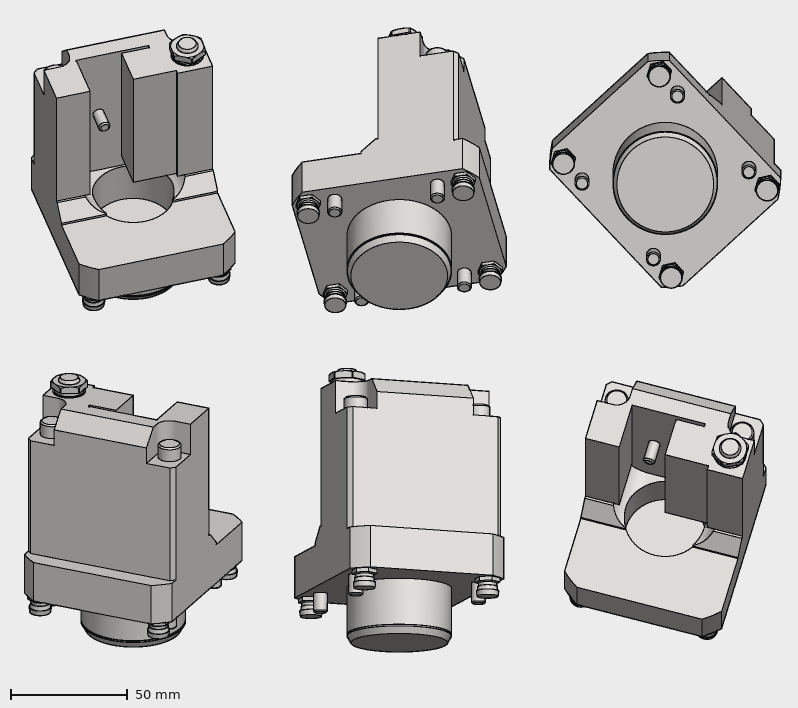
import cadquery as cq
import math


plate_length = 82.0
plate_width = 70.0
plate_height = 18.1
plate_corner_radius = 49.6

spigot_diameter = 45.0
spigot_length = 23.8
spigot_chamfer_inset = 1.7
spigot_chamfer_height = 3.0
spigot_groove_width = 0.7
spigot_groove_depth = 0.2
bore_diameter = 35.0

riser_back_x = -33.0
riser_front_x = 2.0
riser_height = 67.3
riser_corner_chamfer = 2.0
top_chamfer = 7.0
ledge_end_x = 3.0
ledge_height = 7.4
ramp_drop = 6.4

channel_wall_x = -18.5
channel_width = 39.9
foot_channel_radius = 11.7
foot_channel_arc_y = 11.8
foot_channel_floor = 0.9

jaw_front_x = 0.1
jaw_side_y = 19.2
slot_width = 1.4
slot_end_y = 12.5

stop_pin_diameter = 5.0
stop_pin_length = 9.4
stop_pin_y = -10.0
slot_pin_diameter = 6.0
slot_pin_y = 7.5
pin_chamfer = 0.7

screw_x = -22.6
screw_y = 27.9
lower_pin_diameter = 6.0
screw_reach = 8.9
screw_head_diameter = 10.0
screw_head_height = 6.3
lower_pin_chamfer = 0.6
notch_depth = 14.3
notch_radius = 6.0
guide_pin_x = 22.4
guide_pin_reach = 8.2

nozzle_x = 34.0
nozzle_y = 28.0
nozzle_hex_flats = 9.4
nozzle_hex_height = 1.7
nozzle_neck_diameter = 8.0
nozzle_cone_end = 2.2
nozzle_neck_end = 3.6
nozzle_band_diameter = 8.5
nozzle_band_end = 4.3
nozzle_bulge_diameter = 9.6
nozzle_bulge_start = 5.6
nozzle_bulge_end = 6.0
nozzle_tip_diameter = 9.0
nozzle_length = 7.9

stud_x = -8.0
stud_y = 26.7
washer_diameter = 14.0
washer_height = 0.3
collar_diameter = 12.6
nut_bottom = 2.1
nut_height = 3.0
nut_flats = 14.0
nut_turn = -2.5
nut_corner_diameter = 15.9
nut_chamfer_diameter = 14.3
nut_chamfer_height = 0.5
stud_diameter = 9.3
stud_chamfer_inset = 0.8
stud_chamfer_height = 1.5

top_z = plate_height + riser_height
overall_height = 115.9
stud_top = overall_height - spigot_length - top_z


def box(x_range, y_range, z_range):
    """Block between two limits along each axis."""
    (x0, x1), (y0, y1), (z0, z1) = x_range, y_range, z_range
    return cq.Workplane("XY").box(x1 - x0, y1 - y0, z1 - z0, centered=False).translate((x0, y0, z0))


def cylinder(x, y, z, diameter, height):
    """Upright cylinder with its lower end at (x, y, z)."""
    return cq.Workplane("XY").circle(diameter / 2).extrude(height).translate((x, y, z))


def hexagon(flats, height):
    """Upright hexagonal prism with two corners on the X axis."""
    return cq.Workplane("XY").polygon(6, flats / math.cos(math.pi / 6)).extrude(height)


def turned(profile):
    """Solid turned about the Z axis from (radius, z) points."""
    return cq.Workplane("XZ").polyline(profile).close().revolve(360, (0, 0, 0), (0, 1, 0))


def base_plate():
    block = box(
        (-plate_length / 2, plate_length / 2), (-plate_width / 2, plate_width / 2), (0, plate_height)
    )
    return block.intersect(cylinder(0, 0, 0, 2 * plate_corner_radius, plate_height))


def spigot():
    radius = spigot_diameter / 2
    groove_radius = radius - spigot_groove_depth
    chamfer_top = -spigot_length + spigot_chamfer_height
    groove_top = chamfer_top + spigot_groove_width
    return turned([
        (0, 0),
        (radius, 0),
        (radius, groove_top),
        (groove_radius, groove_top),
        (groove_radius, chamfer_top),
        (radius, chamfer_top),
        (radius - spigot_chamfer_inset, -spigot_length),
        (0, -spigot_length),
    ])


def riser():
    ledge_z = plate_height + ledge_height
    ramp_end_x = ledge_end_x + ramp_drop
    side = [
        (riser_back_x, plate_height),
        (riser_back_x, top_z - top_chamfer),
        (riser_back_x + top_chamfer, top_z),
        (riser_front_x, top_z),
        (riser_front_x, ledge_z),
        (ledge_end_x, ledge_z),
        (ramp_end_x, ledge_z - ramp_drop),
        (ramp_end_x, plate_height),
    ]
    body = cq.Workplane("XZ").polyline(side).close().extrude(plate_width / 2, both=True)
    footprint = box(
        (riser_back_x, ramp_end_x), (-plate_width / 2, plate_width / 2), (plate_height, top_z)
    )
    return body.intersect(footprint.edges("|Z and <X").chamfer(riser_corner_chamfer))


def channel():
    """Space between the riser arms: straight-sided above, round-sided at the foot."""
    floor_z = plate_height + foot_channel_floor
    ledge_z = plate_height + ledge_height
    upper = box(
        (channel_wall_x, riser_front_x), (-channel_width / 2, channel_width / 2), (ledge_z, top_z)
    )
    half_width = foot_channel_arc_y + foot_channel_radius
    full_foot = box(
        (channel_wall_x, plate_length / 2),
        (-half_width, half_width),
        (floor_z, floor_z + 2 * foot_channel_radius),
    )
    foot = full_foot.edges("|X and <Z").fillet(foot_channel_radius)
    below_ledge = box(
        (channel_wall_x, plate_length / 2), (-half_width, half_width), (floor_z, ledge_z)
    )
    return upper.union(foot.intersect(below_ledge))


def jaw():
    """Block hanging between the arms, joined to the wall beyond the slot."""
    z_range = (plate_height + ledge_height, top_z)
    block = box((channel_wall_x, jaw_front_x), (0, jaw_side_y), z_range)
    bridge = box((channel_wall_x, riser_front_x), (jaw_side_y, channel_width / 2), z_range)
    slot = box((channel_wall_x, channel_wall_x + slot_width), (0, slot_end_y), z_range)
    return block.union(bridge).cut(slot)


def wall_pin(diameter, length, y):
    """Pin along X, standing on the channel wall at half the riser height."""
    pin = cq.Workplane("YZ").circle(diameter / 2).extrude(length)
    return pin.translate((channel_wall_x, y, plate_height + riser_height / 2))


def notch(side):
    """Corner recess around one screw head, rounded about the screw axis."""
    inner_x = screw_x + notch_radius
    inner_y = screw_y - notch_radius
    block = box((riser_back_x, inner_x), (inner_y, plate_width / 2), (top_z - notch_depth, top_z))
    rounded = block.edges("|Z and >X and <Y").fillet(notch_radius)
    return rounded if side > 0 else rounded.mirror("XZ")


def screw_head(y):
    head = cylinder(screw_x, y, top_z - notch_depth, screw_head_diameter, screw_head_height)
    return head.faces(">Z").chamfer(pin_chamfer)


def plate_pin(x, y, reach):
    """Pin end below the plate."""
    return cylinder(x, y, -reach, lower_pin_diameter, reach).faces("<Z").chamfer(lower_pin_chamfer)


def nozzle():
    cone = nozzle_hex_flats / 2
    neck = nozzle_neck_diameter / 2
    band = nozzle_band_diameter / 2
    bulge = nozzle_bulge_diameter / 2
    tip = nozzle_tip_diameter / 2
    body = turned([
        (0, 0),
        (cone, 0),
        (cone, -nozzle_hex_height),
        (neck, -nozzle_cone_end),
        (neck, -nozzle_neck_end),
        (band, -nozzle_neck_end),
        (band, -nozzle_band_end),
        (tip, -nozzle_bulge_start),
        (bulge, -nozzle_bulge_start),
        (bulge, -nozzle_bulge_end),
        (tip, -nozzle_length),
        (0, -nozzle_length),
    ])
    return body.union(hexagon(nozzle_hex_flats, -nozzle_hex_height))


def stud_and_nut():
    washer = washer_diameter / 2
    collar = collar_diameter / 2
    stud = stud_diameter / 2
    body = turned([
        (0, 0),
        (washer, 0),
        (washer, washer_height),
        (collar, washer_height),
        (collar, nut_bottom),
        (stud, nut_bottom),
        (stud, stud_top - stud_chamfer_height),
        (stud - stud_chamfer_inset, stud_top),
        (0, stud_top),
    ])
    rim = nut_chamfer_diameter / 2
    corner = nut_corner_diameter / 2
    chamfer_cone = turned([
        (0, 0),
        (corner, 0),
        (corner, nut_height - nut_chamfer_height),
        (rim, nut_height),
        (0, nut_height),
    ])
    nut = hexagon(nut_flats, nut_height).intersect(chamfer_cone)
    nut = nut.rotate((0, 0, 0), (0, 0, 1), nut_turn).translate((0, 0, nut_bottom))
    return body.union(nut).translate((stud_x, stud_y, top_z))


result = base_plate().union(riser()).cut(channel()).union(jaw())
for side in (-1, 1):
    result = result.cut(notch(side))
result = result.cut(cylinder(0, 0, 0, bore_diameter, plate_height + ledge_height))
result = result.union(spigot())

stop_pin = wall_pin(stop_pin_diameter, stop_pin_length, stop_pin_y)
result = result.union(stop_pin.faces(">X").chamfer(pin_chamfer))
result = result.union(wall_pin(slot_pin_diameter, slot_width, slot_pin_y))

for side in (-1, 1):
    result = result.union(screw_head(side * screw_y))
    result = result.union(plate_pin(screw_x, side * screw_y, screw_reach))
    result = result.union(plate_pin(guide_pin_x, side * screw_y, guide_pin_reach))
    for end in (-1, 1):
        result = result.union(nozzle().translate((end * nozzle_x, side * nozzle_y, 0)))

result = result.union(stud_and_nut())